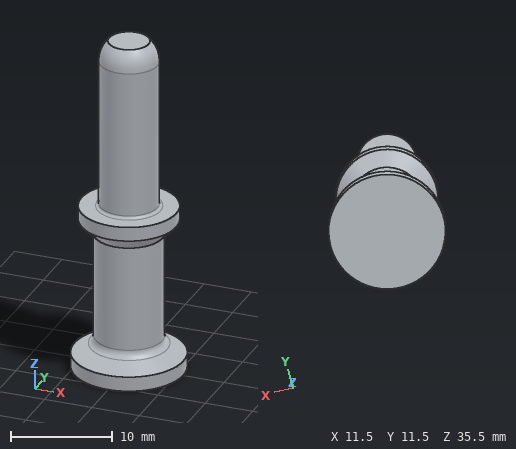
import cadquery as cq
import math

TOTAL_HEIGHT = 35.5
BASE_RIM_HEIGHT = 1.55
COLLAR_RIM_BOTTOM = 16.05
COLLAR_TOP = 17.55
TIP_HEIGHT = 2.15

BASE_RADIUS = 5.75
SHANK_RADIUS = 3.5
COLLAR_RADIUS = 5.0
PIN_DIAMETER = 6.0
PIN_RADIUS = PIN_DIAMETER / 2

BASE_SLOPE = math.radians(30)
SHANK_FILLET = 1.0
PIN_FILLET = 0.3


def arc_point(center, radius, angle):
    """Point at the given angle on a circle in the radius-height plane."""
    return (center[0] + radius * math.cos(angle), center[1] + radius * math.sin(angle))


fillet_center_r = SHANK_RADIUS + SHANK_FILLET
slope_start_r = fillet_center_r - SHANK_FILLET * math.sin(BASE_SLOPE)
slope_start_z = BASE_RIM_HEIGHT + (BASE_RADIUS - slope_start_r) * math.tan(BASE_SLOPE)
fillet_center_z = slope_start_z + SHANK_FILLET * math.cos(BASE_SLOPE)
fillet_mid_angle = math.pi + (math.pi / 2 - BASE_SLOPE) / 2
shank_fillet_mid = arc_point((fillet_center_r, fillet_center_z), SHANK_FILLET, fillet_mid_angle)

collar_cone_bottom = COLLAR_RIM_BOTTOM - (COLLAR_RADIUS - SHANK_RADIUS)

pin_fillet_center = (PIN_RADIUS + PIN_FILLET, COLLAR_TOP + PIN_FILLET)
pin_fillet_mid = arc_point(pin_fillet_center, PIN_FILLET, math.radians(225))

tip_start_z = TOTAL_HEIGHT - TIP_HEIGHT
tip_end_angle = math.asin(TIP_HEIGHT / PIN_RADIUS)
tip_mid = arc_point((0, tip_start_z), PIN_RADIUS, tip_end_angle / 2)
tip_end = arc_point((0, tip_start_z), PIN_RADIUS, tip_end_angle)

profile = (
    cq.Workplane("XZ")
    .lineTo(BASE_RADIUS, 0)
    .lineTo(BASE_RADIUS, BASE_RIM_HEIGHT)
    .lineTo(slope_start_r, slope_start_z)
    .threePointArc(shank_fillet_mid, (SHANK_RADIUS, fillet_center_z))
    .lineTo(SHANK_RADIUS, collar_cone_bottom)
    .lineTo(COLLAR_RADIUS, COLLAR_RIM_BOTTOM)
    .lineTo(COLLAR_RADIUS, COLLAR_TOP)
    .lineTo(pin_fillet_center[0], COLLAR_TOP)
    .threePointArc(pin_fillet_mid, (PIN_RADIUS, pin_fillet_center[1]))
    .lineTo(PIN_RADIUS, tip_start_z)
    .threePointArc(tip_mid, tip_end)
    .lineTo(0, TOTAL_HEIGHT)
    .close()
)
result = profile.revolve(360, (0, 0, 0), (0, 1, 0))